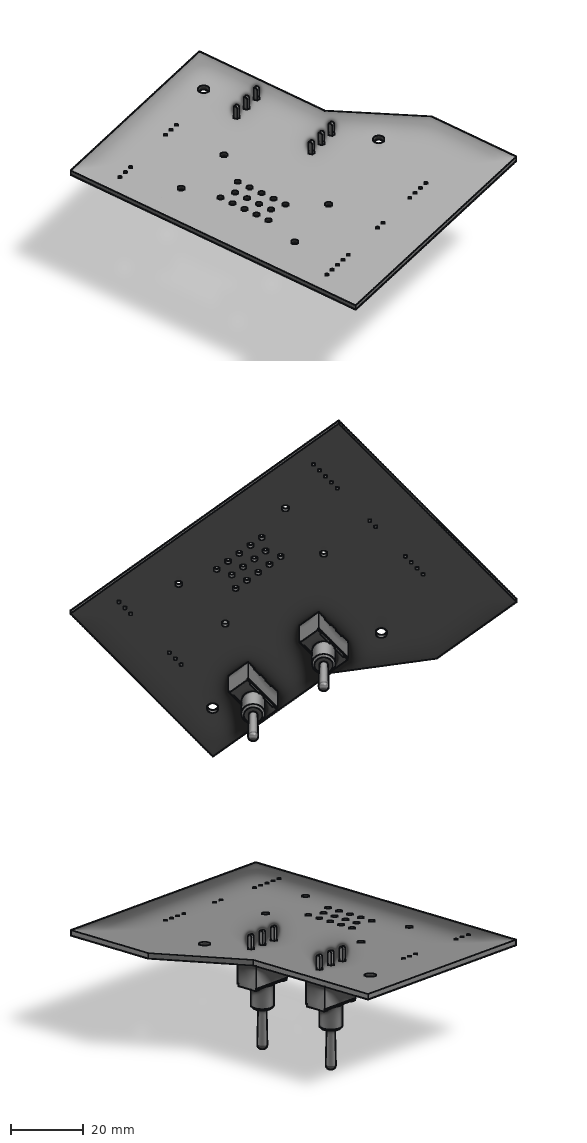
import cadquery as cq


BOARD_WIDTH = 96.5
BOARD_DEPTH = 76.2
BOARD_THICKNESS = 1.6
BOARD_MID_X = BOARD_WIDTH / 2
LEFT_SIDE_DEPTH = 61.0
SLOPE_START_X = 42.5
SLOPE_END_X = 67.8

FIXING_HOLE_DIAMETER = 3.2
FIXING_HOLES = [(10.1, 48.8), (61.5, 59.9)]

PEG_HOLE_DIAMETER = 2.0
REAR_PEG_SPACING = 35.4
REAR_PEG_Y = 29.9
FRONT_PEG_SPACING = 38.4
FRONT_PEG_Y = 11.8

GRID_HOLE_DIAMETER = 1.7
GRID_PITCH_X = 4.1
GRID_PITCH_Y = 4.1
GRID_MID_Y = 18.9
GRID_ROW_COUNTS = [5, 4, 5]

HEADER_PITCH = BOARD_DEPTH / 30
LEFT_HEADER_X = 12.6
LEFT_HEADER_HOLE_DIAMETER = 1.0
LEFT_HEADERS = [(5.7, 3), (27.3, 3)]
RIGHT_HEADER_X = 82.6
RIGHT_HEADER_HOLE_DIAMETER = 0.95
RIGHT_HEADERS = [(5.8, 5), (29.8, 2), (45.1, 4)]

SWITCH_XS = [24.1, 49.5]
SWITCH_Y = 49.5

TERMINAL_PITCH = 4.7
TERMINAL_OFFSETS = [-TERMINAL_PITCH, 0, TERMINAL_PITCH]
TERMINAL_HOLE_DIAMETER = 1.8
TERMINAL_WIDTH = 1.3
TERMINAL_THICKNESS = 1.0
TERMINAL_RISE = 4.1

COLLAR_WIDTH = 3.7
COLLAR_LENGTH = 2.3
COLLAR_HEIGHT = 0.8
COLLAR_CHAMFER = 0.6

BODY_WIDTH = 7.0
BODY_LENGTH = 12.7
BODY_HEIGHT = 9.0
TOP_BEVEL = 0.6
TOP_BEVEL_LENGTH = TERMINAL_PITCH - COLLAR_LENGTH
STEP_HEIGHT = 0.7
STEP_WIDTH = 6.5
STEP_BEVEL = 0.4
STEP_BEVEL_LENGTH = 9.75

BUSHING_DIAMETER = 6.5
BUSHING_LENGTH = 7.1
BUSHING_CHAMFER = 0.7

LEVER_ROOT_DIAMETER = 2.4
LEVER_TIP_DIAMETER = 2.9
LEVER_TIP_RADIUS = LEVER_TIP_DIAMETER / 2
LEVER_TAPER_LENGTH = 10.7

BOARD_BOTTOM = -BOARD_THICKNESS
BODY_TOP = BOARD_BOTTOM - COLLAR_HEIGHT
BODY_BOTTOM = BODY_TOP - BODY_HEIGHT
BUSHING_END = BODY_BOTTOM - BUSHING_LENGTH
LEVER_TAPER_END = BUSHING_END - LEVER_TAPER_LENGTH


def drill(board, points, diameter):
    """Drill a through hole at each point."""
    drills = (
        cq.Workplane("XY", origin=(0, 0, BOARD_BOTTOM))
        .pushPoints(points)
        .circle(diameter / 2)
        .extrude(BOARD_THICKNESS)
    )
    return board.cut(drills)


def header_points(x, headers):
    return [(x, front_y + i * HEADER_PITCH) for front_y, count in headers for i in range(count)]


def grid_points():
    """Rows centred on the board, so a row with one hole less is staggered by half a pitch."""
    points = []
    for row, count in enumerate(GRID_ROW_COUNTS):
        y = GRID_MID_Y + (row - (len(GRID_ROW_COUNTS) - 1) / 2) * GRID_PITCH_Y
        for column in range(count):
            points.append((BOARD_MID_X + (column - (count - 1) / 2) * GRID_PITCH_X, y))
    return points


def peg_points():
    points = []
    for spacing, y in [(REAR_PEG_SPACING, REAR_PEG_Y), (FRONT_PEG_SPACING, FRONT_PEG_Y)]:
        points += [(BOARD_MID_X - spacing / 2, y), (BOARD_MID_X + spacing / 2, y)]
    return points


def make_board():
    board = (
        cq.Workplane("XY", origin=(0, 0, BOARD_BOTTOM))
        .polyline([
            (0, 0),
            (BOARD_WIDTH, 0),
            (BOARD_WIDTH, BOARD_DEPTH),
            (SLOPE_END_X, BOARD_DEPTH),
            (SLOPE_START_X, LEFT_SIDE_DEPTH),
            (0, LEFT_SIDE_DEPTH),
        ])
        .close()
        .extrude(BOARD_THICKNESS)
    )
    terminal_points = [(x, SWITCH_Y + offset) for x in SWITCH_XS for offset in TERMINAL_OFFSETS]
    board = drill(board, FIXING_HOLES, FIXING_HOLE_DIAMETER)
    board = drill(board, peg_points(), PEG_HOLE_DIAMETER)
    board = drill(board, grid_points(), GRID_HOLE_DIAMETER)
    board = drill(board, terminal_points, TERMINAL_HOLE_DIAMETER)
    board = drill(board, header_points(LEFT_HEADER_X, LEFT_HEADERS), LEFT_HEADER_HOLE_DIAMETER)
    return drill(board, header_points(RIGHT_HEADER_X, RIGHT_HEADERS), RIGHT_HEADER_HOLE_DIAMETER)


def edge_bevels(half_width, z, inset, rise, length, y):
    """Prisms to cut from both long edges at height z; a negative rise bevels an upper edge."""
    prisms = cq.Workplane("XZ", origin=(0, y + length / 2, 0))
    for side in (-1, 1):
        edge_x = side * half_width
        prisms = prisms.polyline([(edge_x, z), (edge_x - side * inset, z), (edge_x, z + rise)]).close()
    return prisms.extrude(length)


def switch_body():
    """A block with a narrower step below, bevelled along its upper and lower long edges."""
    step = cq.Workplane("XY", origin=(0, 0, BODY_BOTTOM)).box(
        STEP_WIDTH, BODY_LENGTH, STEP_HEIGHT, centered=(True, True, False)
    )
    step = step.cut(edge_bevels(STEP_WIDTH / 2, BODY_BOTTOM, STEP_BEVEL, STEP_HEIGHT, STEP_BEVEL_LENGTH, 0))
    block = cq.Workplane("XY", origin=(0, 0, BODY_BOTTOM + STEP_HEIGHT)).box(
        BODY_WIDTH, BODY_LENGTH, BODY_HEIGHT - STEP_HEIGHT, centered=(True, True, False)
    )
    for y in (-TERMINAL_PITCH / 2, TERMINAL_PITCH / 2):
        block = block.cut(edge_bevels(BODY_WIDTH / 2, BODY_TOP, TOP_BEVEL, -TOP_BEVEL, TOP_BEVEL_LENGTH, y))
    return block.union(step)


def terminal(y):
    """A flat pin with a rounded tip, standing on a chamfered collar under the board."""
    tip_radius = TERMINAL_WIDTH / 2
    straight_top = TERMINAL_RISE - tip_radius
    pin = (
        cq.Workplane("XZ", origin=(0, y + TERMINAL_THICKNESS / 2, 0))
        .moveTo(-tip_radius, BODY_TOP)
        .lineTo(-tip_radius, straight_top)
        .threePointArc((0, TERMINAL_RISE), (tip_radius, straight_top))
        .lineTo(tip_radius, BODY_TOP)
        .close()
        .extrude(TERMINAL_THICKNESS)
    )
    collar = (
        cq.Workplane("XY", origin=(0, y, BODY_TOP))
        .box(COLLAR_WIDTH, COLLAR_LENGTH, COLLAR_HEIGHT, centered=(True, True, False))
        .faces(">Z")
        .chamfer(COLLAR_CHAMFER)
    )
    return collar.union(pin)


def bushing():
    return (
        cq.Workplane("XY", origin=(0, 0, BUSHING_END))
        .circle(BUSHING_DIAMETER / 2)
        .extrude(BUSHING_LENGTH)
        .faces("<Z")
        .chamfer(BUSHING_CHAMFER)
    )


def lever():
    """A shaft that widens towards its hemispherical end."""
    dome_offset = LEVER_TIP_RADIUS * 0.5 ** 0.5
    return (
        cq.Workplane("XZ")
        .moveTo(0, BUSHING_END)
        .lineTo(LEVER_ROOT_DIAMETER / 2, BUSHING_END)
        .lineTo(LEVER_TIP_RADIUS, LEVER_TAPER_END)
        .threePointArc(
            (dome_offset, LEVER_TAPER_END - dome_offset),
            (0, LEVER_TAPER_END - LEVER_TIP_RADIUS),
        )
        .close()
        .revolve(360, (0, 0, 0), (0, 1, 0))
    )


def make_switch(x):
    switch = switch_body().union(bushing()).union(lever())
    for offset in TERMINAL_OFFSETS:
        switch = switch.union(terminal(offset))
    return switch.translate((x, SWITCH_Y, 0))


board = make_board()
switches = [make_switch(x) for x in SWITCH_XS]

result = cq.Compound.makeCompound([board.val(), *[switch.val() for switch in switches]])